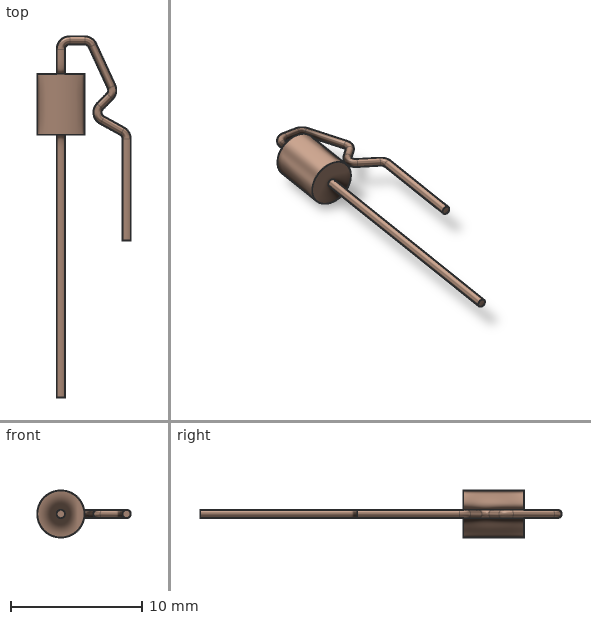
import cadquery as cq
import math

overall_length = 27.5
body_diameter = 3.6
body_length = 4.65
wire_diameter = 0.63
bend_radius = 0.65
lead_pitch = 5.0
rear_reach = 4.87

crossover_end_x = 2.23
kink_outer = (4.05, 0.94)
kink_inner = (2.36, -0.77)
shoulder_y = -2.23
short_lead_tip_y = -10.37

long_lead_tip_y = rear_reach + wire_diameter / 2 - overall_length

lead_corners = [
    (0, long_lead_tip_y),
    (0, rear_reach),
    (crossover_end_x, rear_reach),
    kink_outer,
    kink_inner,
    (lead_pitch, shoulder_y),
    (lead_pitch, short_lead_tip_y),
]


def rounded_path(corners, radius):
    """Polyline in the XY plane with an arc of the given radius at every inner corner."""
    points = [cq.Vector(x, y) for x, y in corners]
    path = cq.Workplane("XY").moveTo(*corners[0])
    for before, corner, after in zip(points, points[1:], points[2:]):
        back = (before - corner).normalized()
        ahead = (after - corner).normalized()
        half_angle = back.getAngle(ahead) / 2
        tangent_length = radius / math.tan(half_angle)
        centre_distance = radius / math.sin(half_angle)
        arc_start = corner + back * tangent_length
        arc_middle = corner + (back + ahead).normalized() * (centre_distance - radius)
        arc_end = corner + ahead * tangent_length
        path = path.lineTo(arc_start.x, arc_start.y)
        path = path.threePointArc((arc_middle.x, arc_middle.y), (arc_end.x, arc_end.y))
    return path.lineTo(*corners[-1])


def make_lead():
    """One continuous wire from the long lead tip through the body to the short lead tip."""
    start_plane = cq.Plane(origin=(0, long_lead_tip_y, 0), xDir=(1, 0, 0), normal=(0, 1, 0))
    section = cq.Workplane(start_plane).circle(wire_diameter / 2)
    return section.sweep(rounded_path(lead_corners, bend_radius))


def make_body():
    rear_face = cq.Workplane("XZ", origin=(0, body_length / 2, 0))
    return rear_face.circle(body_diameter / 2).extrude(body_length)


result = make_body().union(make_lead())